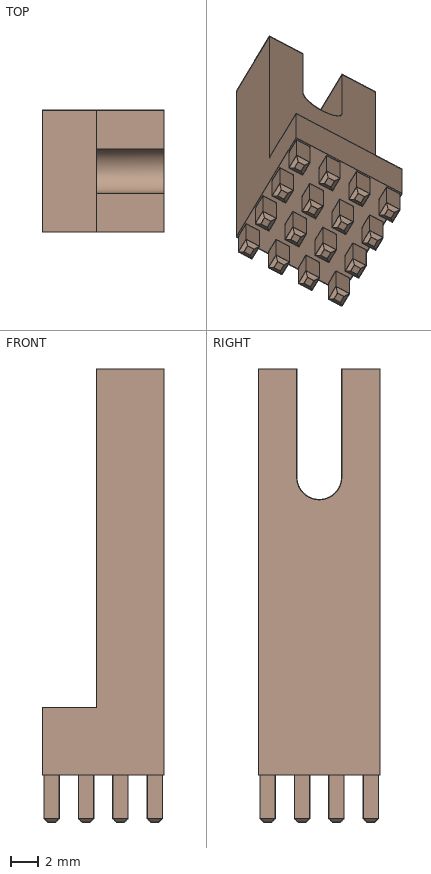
import cadquery as cq

BODY_SIDE = 9.0
BASE_HEIGHT = 5.0
BODY_HEIGHT = 30.0
UPRIGHT_THICKNESS = 5.0

SLOT_WIDTH = 3.3
SLOT_STRAIGHT_DEPTH = 8.0

PIN_SIDE = 1.15
PIN_LENGTH = 3.5
PIN_TIP_CHAMFER = 0.3
PIN_PITCH = 2.54
PINS_PER_ROW = 4

HALF_SIDE = BODY_SIDE / 2
UPRIGHT_FACE_X = HALF_SIDE - UPRIGHT_THICKNESS
SLOT_CENTRE_Z = BODY_HEIGHT - SLOT_STRAIGHT_DEPTH


def make_body():
    """L-shaped profile extruded over the full width in Y."""
    profile = [
        (-HALF_SIDE, 0),
        (HALF_SIDE, 0),
        (HALF_SIDE, BODY_HEIGHT),
        (UPRIGHT_FACE_X, BODY_HEIGHT),
        (UPRIGHT_FACE_X, BASE_HEIGHT),
        (-HALF_SIDE, BASE_HEIGHT),
    ]
    return cq.Workplane("XZ").polyline(profile).close().extrude(HALF_SIDE, both=True)


def make_slot():
    """Open-topped slot with a round bottom, passing through the upright in X."""
    slot_radius = SLOT_WIDTH / 2
    return (
        cq.Workplane("YZ", origin=(UPRIGHT_FACE_X, 0, 0))
        .moveTo(-slot_radius, BODY_HEIGHT)
        .lineTo(-slot_radius, SLOT_CENTRE_Z)
        .threePointArc((0, SLOT_CENTRE_Z - slot_radius), (slot_radius, SLOT_CENTRE_Z))
        .lineTo(slot_radius, BODY_HEIGHT)
        .close()
        .extrude(UPRIGHT_THICKNESS)
    )


def make_pins():
    """Centred square grid of square pins with chamfered tips under the base."""
    return (
        cq.Workplane("XY")
        .rarray(PIN_PITCH, PIN_PITCH, PINS_PER_ROW, PINS_PER_ROW)
        .rect(PIN_SIDE, PIN_SIDE)
        .extrude(-PIN_LENGTH)
        .faces("<Z")
        .chamfer(PIN_TIP_CHAMFER)
    )


result = make_body().cut(make_slot()).union(make_pins())